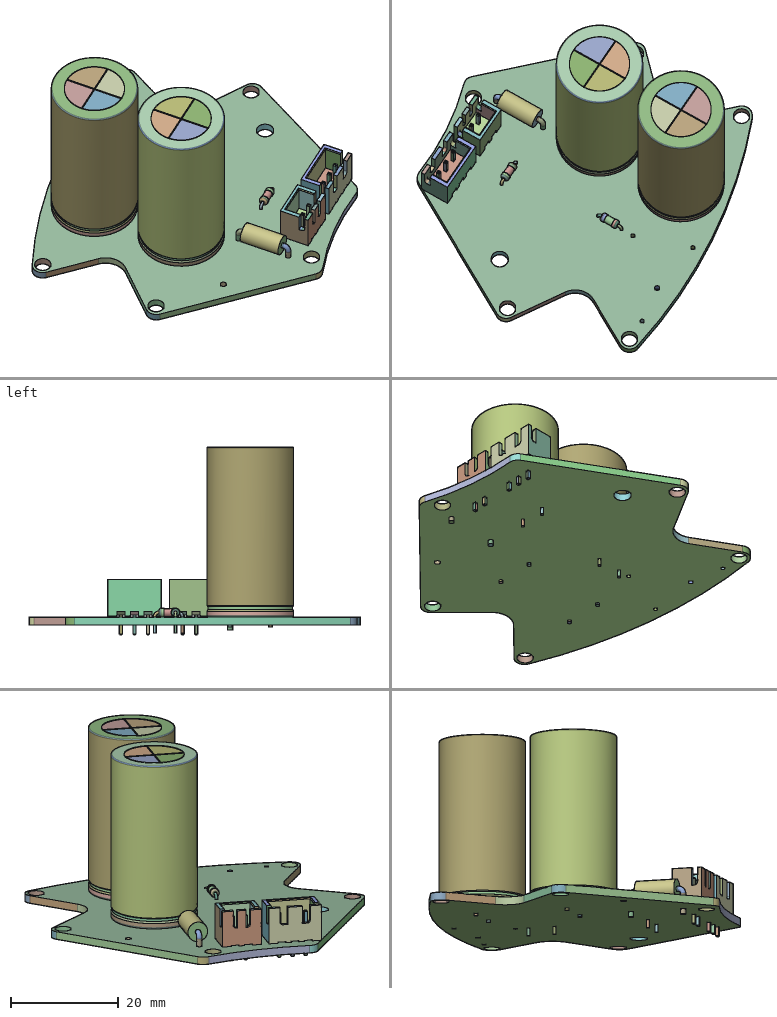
import cadquery as cq
import math


BOARD_THICKNESS = 1.5
TIP_RADIUS = 1.95
NOTCH_RADIUS = 3.95
EAR_CORNER = (1.3, 56.0)
LOWER_LEFT_CORNER = (8.85, -0.85)
LOWER_NOTCH_CORNER = (21.0, 11.25)
BOTTOM_CORNER = (33.2, -0.85)
LOWER_RIGHT_CORNER = (57.2, 23.15)
UPPER_RIGHT_CORNER = (54.3, 45.4)
TOP_CORNER = (24.9, 62.25)
UPPER_NOTCH_CORNER = (16.1, 47.5)
LEFT_EDGE_MIDDLE = (0, 40)
RIGHT_EDGE_MIDDLE = (54.15, 40)

MOUNTING_HOLE_DIAMETER = 3.0
MOUNTING_HOLES = [(2.9, 52.7), (25.5, 59.3), (53.75, 25.85), (9.5, 2.7), (33.05, 2.15)]
OTHER_HOLES = [
    (3.2, 32.05, 51.5),
    (0.75, 2.8, 48.35),
    (0.9, 4.05, 41.1),
    (0.75, 13.6, 34.3),
    (0.75, 2.8, 30.5),
    (1.1, 41.95, 12.5),
]

CAPACITOR_CENTRES = [(11.7, 20.4), (29.5, 20.4)]
CAN_RADIUS = 8.05
CAN_HEIGHT = 31.6
CAN_TOP_FILLET = 0.2
CAN_BOTTOM_FILLET = 0.3
CRIMP_DEPTH = 0.2
CRIMP_LOWER_EDGE = 1.1
CRIMP_FLOOR_BOTTOM = 1.5
CRIMP_FLOOR_TOP = 1.95
CRIMP_UPPER_EDGE = 2.15
VENT_RADIUS = 5.6
VENT_DEPTH = 0.1
SCORE_WIDTH = 0.1
SCORE_DEPTH = 0.1
CAPACITOR_LEAD_PITCH = 7.5
CAPACITOR_LEAD_DIAMETER = 0.75
CAPACITOR_LEAD_STICKOUT = 0.35

POWER_DIODE_CENTRE = (44.65, 24.2)
POWER_DIODE_DIAMETER = 3.75
POWER_DIODE_LENGTH = 7.75
POWER_DIODE_AXIS_HEIGHT = 2.4
POWER_LEAD_DIAMETER = 1.0
POWER_LEAD_PITCH = 10.2
POWER_LEAD_BEND = 0.9
POWER_LEAD_STICKOUT = 0.9

SMALL_DIODES = [(18.65, 34.3, 0), (39.9, 35.6, 90)]
BULB_DIAMETER = 1.65
BULB_FILLET = 0.35
BULB_LENGTH = 0.9
SLEEVE_DIAMETER = 1.5
SLEEVE_LENGTH = 1.65
SMALL_DIODE_AXIS_HEIGHT = 0.85
SMALL_LEAD_DIAMETER = 0.55
SMALL_LEAD_PITCH = 5.1
SMALL_LEAD_BEND = 0.75
SMALL_LEAD_STICKOUT = 1.5

PIN_PITCH = 2.5
PIN_SIDE = 0.6
PIN_TIP_CHAMFER = 0.2
PIN_STICKOUT = 1.8
PIN_TOP = 5.55
HEADERS = [(3, 49.8, 41.95), (2, 49.8, 31.75)]
PIN_TO_BACK = 3.45
HEADER_WIDTH = 5.7
HEADER_LIFT = 0.2
HEADER_HEIGHT = 7.0
END_MARGIN = 2.45
BACK_WALL = 0.75
END_WALL = 0.9
FRONT_WALL = 0.75
RIM_CHAMFER = 0.2
FLOOR_HEIGHT = 1.85
SLOT_DEPTH = 3.3
SLOT_FILLET = 0.6
END_SLOT_WIDTH = 1.15
FRONT_SLOT_START = 2.1
FRONT_SLOT_WIDTHS = {2: 0.8, 3: 1.55}
TUNNEL_WIDTH = 1.5
TUNNEL_ENTRY_HEIGHT = 1.1
TUNNEL_HEIGHT = 0.35
TUNNEL_SLOPE_LENGTH = 0.75


def spaced(count, pitch):
    """Positions of `count` items at `pitch`, centred on zero."""
    return [(i - (count - 1) / 2) * pitch for i in range(count)]


def make_board():
    board = (
        cq.Workplane("XY")
        .moveTo(*EAR_CORNER)
        .threePointArc(LEFT_EDGE_MIDDLE, LOWER_LEFT_CORNER)
        .lineTo(*LOWER_NOTCH_CORNER)
        .lineTo(*BOTTOM_CORNER)
        .lineTo(*LOWER_RIGHT_CORNER)
        .threePointArc(RIGHT_EDGE_MIDDLE, UPPER_RIGHT_CORNER)
        .lineTo(*TOP_CORNER)
        .lineTo(*UPPER_NOTCH_CORNER)
        .close()
        .extrude(-BOARD_THICKNESS)
    )
    tips = [EAR_CORNER, LOWER_LEFT_CORNER, BOTTOM_CORNER, LOWER_RIGHT_CORNER, UPPER_RIGHT_CORNER, TOP_CORNER]
    corner_radii = [(corner, TIP_RADIUS) for corner in tips]
    corner_radii += [(corner, NOTCH_RADIUS) for corner in (LOWER_NOTCH_CORNER, UPPER_NOTCH_CORNER)]
    for (x, y), radius in corner_radii:
        nearest = cq.selectors.NearestToPointSelector((x, y, -BOARD_THICKNESS / 2))
        board = board.edges("|Z").edges(nearest).fillet(radius)

    holes = [(MOUNTING_HOLE_DIAMETER, x, y) for x, y in MOUNTING_HOLES] + OTHER_HOLES
    for diameter, x, y in holes:
        board = board.cut(cq.Workplane("XY").center(x, y).circle(diameter / 2).extrude(-BOARD_THICKNESS))
    return board


def make_capacitor(x, y):
    crimp_radius = CAN_RADIUS - CRIMP_DEPTH
    can = (
        cq.Workplane("XZ")
        .moveTo(0, 0)
        .lineTo(CAN_RADIUS, 0)
        .lineTo(CAN_RADIUS, CRIMP_LOWER_EDGE)
        .lineTo(crimp_radius, CRIMP_FLOOR_BOTTOM)
        .lineTo(crimp_radius, CRIMP_FLOOR_TOP)
        .lineTo(CAN_RADIUS, CRIMP_UPPER_EDGE)
        .lineTo(CAN_RADIUS, CAN_HEIGHT)
        .lineTo(0, CAN_HEIGHT)
        .close()
        .revolve(360, (0, 0, 0), (0, 1, 0))
    )
    can = can.faces(">Z").edges().fillet(CAN_TOP_FILLET)
    can = can.faces("<Z").edges().fillet(CAN_BOTTOM_FILLET)

    vent_floor = cq.Workplane("XY").workplane(offset=CAN_HEIGHT - VENT_DEPTH)
    can = can.cut(vent_floor.circle(VENT_RADIUS).extrude(VENT_DEPTH))
    can = can.cut(vent_floor.rect(2 * VENT_RADIUS, SCORE_WIDTH).extrude(-SCORE_DEPTH))
    can = can.cut(vent_floor.rect(SCORE_WIDTH, 2 * VENT_RADIUS).extrude(-SCORE_DEPTH))

    leads = (
        cq.Workplane("XY")
        .pushPoints([(0, offset) for offset in spaced(2, CAPACITOR_LEAD_PITCH)])
        .circle(CAPACITOR_LEAD_DIAMETER / 2)
        .extrude(-BOARD_THICKNESS - CAPACITOR_LEAD_STICKOUT)
    )
    return can.union(leads).translate((x, y, 0))


def make_bent_lead(diameter, pitch, bend, axis_height, stickout):
    """Lead that leaves the diode body along +X and bends down through the board."""
    bend_start = pitch / 2 - bend
    diagonal = bend * math.sqrt(0.5)
    path = (
        cq.Workplane("XZ")
        .moveTo(0, axis_height)
        .lineTo(bend_start, axis_height)
        .threePointArc(
            (bend_start + diagonal, axis_height - bend + diagonal),
            (pitch / 2, axis_height - bend),
        )
        .lineTo(pitch / 2, -BOARD_THICKNESS - stickout)
    )
    return cq.Workplane("YZ").center(0, axis_height).circle(diameter / 2).sweep(path)


def add_leads(body, lead):
    return body.union(lead).union(lead.mirror("YZ"))


def make_power_diode():
    body = (
        cq.Workplane("YZ", origin=(-POWER_DIODE_LENGTH / 2, 0, POWER_DIODE_AXIS_HEIGHT))
        .circle(POWER_DIODE_DIAMETER / 2)
        .extrude(POWER_DIODE_LENGTH)
    )
    lead = make_bent_lead(
        POWER_LEAD_DIAMETER, POWER_LEAD_PITCH, POWER_LEAD_BEND, POWER_DIODE_AXIS_HEIGHT, POWER_LEAD_STICKOUT
    )
    return add_leads(body, lead).translate((*POWER_DIODE_CENTRE, 0))


def make_small_diode(x, y, turn):
    sleeve_end = SLEEVE_LENGTH / 2
    body = (
        cq.Workplane("YZ", origin=(-sleeve_end, 0, SMALL_DIODE_AXIS_HEIGHT))
        .circle(SLEEVE_DIAMETER / 2)
        .extrude(SLEEVE_LENGTH)
    )
    bulb = (
        cq.Workplane("YZ", origin=(sleeve_end, 0, SMALL_DIODE_AXIS_HEIGHT))
        .circle(BULB_DIAMETER / 2)
        .extrude(BULB_LENGTH)
        .faces(">X")
        .edges()
        .fillet(BULB_FILLET)
    )
    body = body.union(bulb).union(bulb.mirror("YZ"))
    lead = make_bent_lead(
        SMALL_LEAD_DIAMETER, SMALL_LEAD_PITCH, SMALL_LEAD_BEND, SMALL_DIODE_AXIS_HEIGHT, SMALL_LEAD_STICKOUT
    )
    return add_leads(body, lead).rotate((0, 0, 0), (0, 0, 1), turn).translate((x, y, 0))


def block(x0, x1, y0, y1, z0, z1):
    return cq.Workplane("XY").box(x1 - x0, y1 - y0, z1 - z0, centered=False).translate((x0, y0, z0))


def make_header(pin_count, x, y):
    """Open-topped housing with a row of square pins along Y, centred on the pin row."""
    pin_offsets = spaced(pin_count, PIN_PITCH)
    half_length = pin_offsets[-1] + END_MARGIN
    back = -PIN_TO_BACK
    front = back + HEADER_WIDTH
    inner_front = front - FRONT_WALL
    slot_bottom = HEADER_HEIGHT - SLOT_DEPTH
    housing = block(back, front, -half_length, half_length, HEADER_LIFT, HEADER_HEIGHT)

    inner_back = back + BACK_WALL
    inner_end = half_length - END_WALL
    housing = housing.cut(block(inner_back, inner_front, -inner_end, inner_end, FLOOR_HEIGHT, HEADER_HEIGHT))
    rim_edges = cq.selectors.BoxSelector(
        (inner_back - RIM_CHAMFER, -inner_end - RIM_CHAMFER, HEADER_HEIGHT - RIM_CHAMFER),
        (inner_front - RIM_CHAMFER, inner_end + RIM_CHAMFER, HEADER_HEIGHT + RIM_CHAMFER),
    )
    housing = housing.faces(">Z").edges(rim_edges).chamfer(RIM_CHAMFER)

    end_slot = block(
        inner_front - END_SLOT_WIDTH, inner_front, -half_length, half_length, slot_bottom, HEADER_HEIGHT
    )
    housing = housing.cut(end_slot.edges("|Y").edges("<Z").edges(">X").fillet(SLOT_FILLET))

    slot_end = half_length - FRONT_SLOT_START
    slot_start = slot_end - FRONT_SLOT_WIDTHS[pin_count]
    front_slot = block(inner_front, front, slot_start, slot_end, slot_bottom, HEADER_HEIGHT)
    front_slot = front_slot.edges("|X").edges("<Z").edges(">Y").fillet(SLOT_FILLET)
    housing = housing.cut(front_slot).cut(front_slot.mirror("XZ"))

    for offset in pin_offsets:
        tunnel = (
            cq.Workplane("XZ", origin=(0, offset, 0))
            .moveTo(back, 0)
            .lineTo(front, 0)
            .lineTo(front, TUNNEL_HEIGHT)
            .lineTo(back + TUNNEL_SLOPE_LENGTH, TUNNEL_HEIGHT)
            .lineTo(back, TUNNEL_ENTRY_HEIGHT)
            .close()
            .extrude(TUNNEL_WIDTH / 2, both=True)
        )
        housing = housing.cut(tunnel)
    for offset in pin_offsets:
        pin = (
            cq.Workplane("XY", origin=(0, offset, -BOARD_THICKNESS - PIN_STICKOUT))
            .rect(PIN_SIDE, PIN_SIDE)
            .extrude(PIN_TOP + BOARD_THICKNESS + PIN_STICKOUT)
            .faces("<Z or >Z")
            .chamfer(PIN_TIP_CHAMFER)
        )
        housing = housing.union(pin)
    return housing.translate((x, y, 0))


capacitors = [make_capacitor(x, y) for x, y in CAPACITOR_CENTRES]
power_diode = make_power_diode()
small_diodes = [make_small_diode(x, y, turn) for x, y, turn in SMALL_DIODES]
headers = [make_header(count, x, y) for count, x, y in HEADERS]
components = [*capacitors, power_diode, *small_diodes, *headers]

board = make_board()
for component in components:
    board = board.cut(component)

bodies = [board, *components]
result = cq.Compound.makeCompound([body.solids().val() for body in bodies])